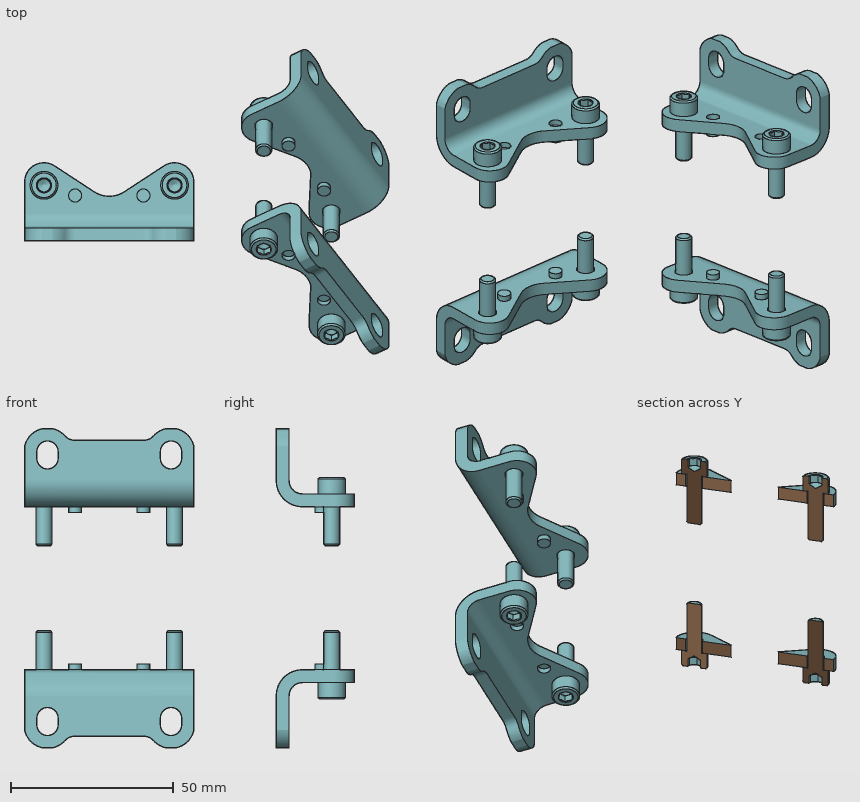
import cadquery as cq
import math

WIDTH = 52.0
DEPTH = 24.0
TOTAL_HEIGHT = 98.0
FLANGE_HEIGHT = 24.0
THICKNESS = 4.0
INNER_BEND_RADIUS = 4.0
HALF_WIDTH = WIDTH / 2
FRONT_Y = -DEPTH / 2
BACK_Y = DEPTH / 2
TOP_Z = TOTAL_HEIGHT / 2
BASE_Z = TOP_Z - FLANGE_HEIGHT
SEAT_Z = BASE_Z + THICKNESS
OUTER_BEND_RADIUS = INNER_BEND_RADIUS + THICKNESS

SLOT_WIDTH = 6.5
SLOT_LENGTH = 8.5
SLOT_EDGE_DISTANCE = 7.1
EAR_RADIUS = 7.3
EAR_DIP = 3.5
EAR_FILLET = 4.0
SLOT_X = HALF_WIDTH - SLOT_EDGE_DISTANCE
EAR_CENTER_Z = TOP_Z - SLOT_EDGE_DISTANCE
SLOT_CENTER_Z = EAR_CENTER_Z - (SLOT_LENGTH - SLOT_WIDTH) / 2

LOBE_RADIUS = 6.0
VALLEY_RADIUS = 8.5
VALLEY_DEPTH = 10.3
LOBE_X = HALF_WIDTH - LOBE_RADIUS
LOBE_Y = BACK_Y - LOBE_RADIUS

PIN_DIAMETER = 4.0
PIN_HEIGHT = 1.8
PIN_X = 10.5
PIN_Y = BACK_Y - 10.1

SCREW_X = LOBE_X
SCREW_Y = BACK_Y - 7.0
CLEARANCE_DIAMETER = 5.5
SHANK_DIAMETER = 5.0
SHANK_LENGTH = 16.0
HEAD_DIAMETER = 8.5
HEAD_HEIGHT = 5.0
SCREW_CHAMFER = 0.5
SOCKET_WIDTH = 4.0
SOCKET_DEPTH = 2.5
SOCKET_TIP_ANGLE = 120.0
SOCKET_CORNER_DIAMETER = SOCKET_WIDTH / math.cos(math.radians(30))

SIDES = (-1, 1)


def arc_point(center, radius, angle):
    """Point on a circle at an angle in radians."""
    return (center[0] + radius * math.cos(angle), center[1] + radius * math.sin(angle))


def bent_strip():
    """L profile with concentric bend radii, swept over the full width."""
    bend_center = (FRONT_Y + OUTER_BEND_RADIUS, BASE_Z + OUTER_BEND_RADIUS)
    middle = math.radians(225)
    return (
        cq.Workplane("YZ")
        .moveTo(BACK_Y, BASE_Z)
        .lineTo(bend_center[0], BASE_Z)
        .threePointArc(arc_point(bend_center, OUTER_BEND_RADIUS, middle), (FRONT_Y, bend_center[1]))
        .lineTo(FRONT_Y, TOP_Z)
        .lineTo(FRONT_Y + THICKNESS, TOP_Z)
        .lineTo(FRONT_Y + THICKNESS, bend_center[1])
        .threePointArc(arc_point(bend_center, INNER_BEND_RADIUS, middle), (bend_center[0], SEAT_Z))
        .lineTo(BACK_Y, SEAT_Z)
        .close()
        .extrude(HALF_WIDTH, both=True)
    )


def flange_outline():
    """Prism along Y with the front outline: ear arcs cut by the side and top edges."""
    ear_center = (SLOT_X, EAR_CENTER_Z)
    edge_angle = math.acos(SLOT_EDGE_DISTANCE / EAR_RADIUS)
    dip_z = TOP_Z - EAR_DIP
    fillet_z = dip_z + EAR_FILLET
    lean = math.acos((fillet_z - EAR_CENTER_Z) / (EAR_RADIUS + EAR_FILLET))
    fillet_center = (SLOT_X - (EAR_RADIUS + EAR_FILLET) * math.sin(lean), fillet_z)
    up = math.pi / 2
    return (
        cq.Workplane("XZ")
        .moveTo(0, BASE_Z)
        .lineTo(HALF_WIDTH, BASE_Z)
        .lineTo(*arc_point(ear_center, EAR_RADIUS, edge_angle))
        .threePointArc(
            arc_point(ear_center, EAR_RADIUS, up / 2),
            arc_point(ear_center, EAR_RADIUS, up - edge_angle),
        )
        .lineTo(*arc_point(ear_center, EAR_RADIUS, up + edge_angle))
        .threePointArc(
            arc_point(ear_center, EAR_RADIUS, up + (edge_angle + lean) / 2),
            arc_point(ear_center, EAR_RADIUS, up + lean),
        )
        .threePointArc(
            arc_point(fillet_center, EAR_FILLET, lean / 2 - up),
            (fillet_center[0], dip_z),
        )
        .lineTo(0, dip_z)
        .mirrorY()
        .extrude(DEPTH, both=True)
    )


def plate_outline():
    """Prism along Z with the plan outline: lobes joined to a round valley by tangent lines."""
    lobe_center = (LOBE_X, LOBE_Y)
    valley_center = (0, BACK_Y - VALLEY_DEPTH + VALLEY_RADIUS)
    rise = LOBE_Y - valley_center[1]
    spacing = math.hypot(LOBE_X, rise)
    slope = math.asin((LOBE_RADIUS + VALLEY_RADIUS) / spacing) + math.atan2(rise, LOBE_X)
    up = math.pi / 2
    return (
        cq.Workplane("XY")
        .moveTo(0, FRONT_Y)
        .lineTo(HALF_WIDTH, FRONT_Y)
        .lineTo(HALF_WIDTH, LOBE_Y)
        .threePointArc(
            arc_point(lobe_center, LOBE_RADIUS, (up + slope) / 2),
            arc_point(lobe_center, LOBE_RADIUS, up + slope),
        )
        .lineTo(*arc_point(valley_center, VALLEY_RADIUS, slope - up))
        .threePointArc(
            arc_point(valley_center, VALLEY_RADIUS, slope / 2 - up),
            (0, BACK_Y - VALLEY_DEPTH),
        )
        .mirrorY()
        .extrude(TOP_Z)
    )


def disc(x, y, bottom_z, diameter, height):
    """Vertical cylinder standing on a given height."""
    return cq.Workplane("XY", origin=(x, y, bottom_z)).circle(diameter / 2).extrude(height)


def make_bracket():
    """Upper bracket with its slots, screw holes and locating pins."""
    bracket = bent_strip().intersect(flange_outline()).intersect(plate_outline())
    slots = (
        cq.Workplane("XZ")
        .pushPoints([(side * SLOT_X, SLOT_CENTER_Z) for side in SIDES])
        .slot2D(SLOT_LENGTH, SLOT_WIDTH, 90)
        .extrude(DEPTH, both=True)
    )
    bracket = bracket.cut(slots)
    for side in SIDES:
        bracket = bracket.cut(disc(side * SCREW_X, SCREW_Y, BASE_Z, CLEARANCE_DIAMETER, THICKNESS))
        bracket = bracket.cut(disc(side * PIN_X, PIN_Y, SEAT_Z - PIN_HEIGHT, PIN_DIAMETER, PIN_HEIGHT))
        bracket = bracket.union(disc(side * PIN_X, PIN_Y, BASE_Z - PIN_HEIGHT, PIN_DIAMETER, PIN_HEIGHT))
    return bracket


def make_socket(head_top_z):
    """Hexagon socket with a chamfered mouth and a drilled conical bottom."""
    hexagon = (
        cq.Workplane("XY", origin=(0, 0, head_top_z))
        .transformed(rotate=(0, 0, 90))
        .polygon(6, SOCKET_CORNER_DIAMETER)
        .extrude(-SOCKET_DEPTH)
    )
    floor_z = head_top_z - SOCKET_DEPTH
    tip_depth = SOCKET_WIDTH / 2 / math.tan(math.radians(SOCKET_TIP_ANGLE / 2))
    mouth_radius = SOCKET_CORNER_DIAMETER / 2
    down = cq.Vector(0, 0, -1)
    tip = cq.Solid.makeCone(SOCKET_WIDTH / 2, 0, tip_depth, cq.Vector(0, 0, floor_z), down)
    mouth = cq.Solid.makeCone(mouth_radius, 0, mouth_radius, cq.Vector(0, 0, head_top_z), down)
    return hexagon.union(cq.Workplane(tip)).union(cq.Workplane(mouth))


def make_screw(x):
    """Upper screw: head seated on the plate, shank pointing down."""
    head = disc(0, 0, SEAT_Z, HEAD_DIAMETER, HEAD_HEIGHT).faces(">Z").chamfer(SCREW_CHAMFER)
    shank = disc(0, 0, SEAT_Z - SHANK_LENGTH, SHANK_DIAMETER, SHANK_LENGTH)
    shank = shank.faces("<Z").chamfer(SCREW_CHAMFER)
    screw = head.union(shank).cut(make_socket(SEAT_Z + HEAD_HEIGHT))
    return screw.translate((x, SCREW_Y, 0))


bodies = []
upper_bracket = make_bracket()
lower_bracket = upper_bracket.mirror("XY")
bodies += [upper_bracket.solids().val(), lower_bracket.solids().val()]

for side in SIDES:
    upper_screw = make_screw(side * SCREW_X)
    lower_screw = upper_screw.mirror("XY")
    bodies += [upper_screw.solids().val(), lower_screw.solids().val()]

result = cq.Compound.makeCompound(bodies)